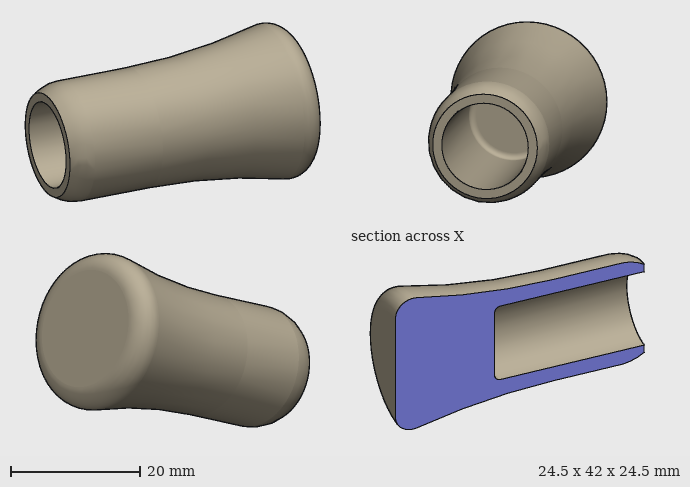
import cadquery as cq
import math

length = 42.0
y_front = -length / 2
y_back = length / 2

neck_radius = 9.5
front_face_radius = 8.25
head_edge_radius = 12.2
head_round_radius = 3.05

front_round_length = 3.75
head_round_length = 3.7
y_flare_start = -5.65
y_neck_start = y_front + front_round_length
y_head_edge = y_back - head_round_length

bore_radius = 6.8
bore_depth = 25.2
bore_floor_fillet = 0.95


def tangent_arc_radius(run, rise):
    """Radius of an arc that starts parallel to the axis and climbs rise over run."""
    return (run**2 + rise**2) / (2 * rise)


def arc_midpoint(radius_at_tangent, y_tangent, run, rise, outward):
    """Point halfway along (in angle) an arc tangent to the axis direction.

    run is signed along Y; outward is +1 for a flaring arc, -1 for a closing one.
    """
    arc_radius = tangent_arc_radius(run, rise)
    half_angle = math.asin(run / arc_radius) / 2
    offset = arc_radius * (1 - math.cos(half_angle))
    return (radius_at_tangent + outward * offset, y_tangent + arc_radius * math.sin(half_angle))


nose_mid = arc_midpoint(
    neck_radius, y_neck_start, -front_round_length, neck_radius - front_face_radius, -1
)

flare_run = y_head_edge - y_flare_start
flare_rise = head_edge_radius - neck_radius
flare_mid = arc_midpoint(neck_radius, y_flare_start, flare_run, flare_rise, 1)

flare_angle = math.asin(flare_run / tangent_arc_radius(flare_run, flare_rise))
head_center_x = head_edge_radius - head_round_radius * math.cos(flare_angle)
head_center_y = y_back - head_round_radius
head_mid = (
    head_center_x + head_round_radius * math.cos(math.pi / 4),
    head_center_y + head_round_radius * math.sin(math.pi / 4),
)

body = (
    cq.Workplane("XY")
    .moveTo(0, y_front)
    .lineTo(front_face_radius, y_front)
    .threePointArc(nose_mid, (neck_radius, y_neck_start))
    .lineTo(neck_radius, y_flare_start)
    .threePointArc(flare_mid, (head_edge_radius, y_head_edge))
    .threePointArc(head_mid, (head_center_x, y_back))
    .lineTo(0, y_back)
    .close()
    .revolve(360, (0, 0, 0), (0, 1, 0))
)

bore = (
    cq.Workplane("XZ", origin=(0, y_front, 0))
    .circle(bore_radius)
    .extrude(-bore_depth)
    .faces(">Y")
    .edges()
    .fillet(bore_floor_fillet)
)

result = body.cut(bore)